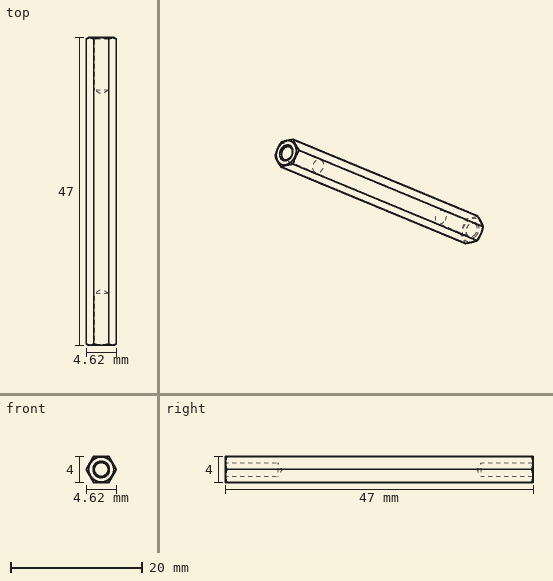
import cadquery as cq
import math

length = 47.0
across_flats = 4.0
across_corners = across_flats / math.cos(math.radians(30))

end_face_diameter = 3.8
corner_chamfer_angle = 30.0

hole_diameter = 2.1
hole_mouth_diameter = 2.5
hole_depth = 8.0
drill_point_angle = 118.0


def revolve_about_y(points):
    """Turn an outline of (radius, y) points around the Y axis."""
    return cq.Workplane("XY").polyline(points).close().revolve(360, (0, 0, 0), (0, 1, 0))


def hex_bar():
    return cq.Workplane("XZ").polygon(6, across_corners).extrude(length / 2, both=True)


def chamfer_envelope():
    """Cylinder through the hexagon corners, with both ends chamfered."""
    corner_radius = across_corners / 2
    face_radius = end_face_diameter / 2
    chamfer_length = (corner_radius - face_radius) * math.tan(math.radians(corner_chamfer_angle))
    end = length / 2
    shoulder = end - chamfer_length
    return revolve_about_y([
        (0, -end),
        (face_radius, -end),
        (corner_radius, -shoulder),
        (corner_radius, shoulder),
        (face_radius, end),
        (0, end),
    ])


def blind_hole():
    """Hole at the -Y end: 45 degree countersink, straight bore and drill point."""
    bore_radius = hole_diameter / 2
    mouth_radius = hole_mouth_diameter / 2
    countersink_depth = mouth_radius - bore_radius
    point_depth = bore_radius / math.tan(math.radians(drill_point_angle / 2))
    mouth = -length / 2
    return revolve_about_y([
        (0, mouth),
        (mouth_radius, mouth),
        (bore_radius, mouth + countersink_depth),
        (bore_radius, mouth + hole_depth),
        (0, mouth + hole_depth + point_depth),
    ])


front_hole = blind_hole()
back_hole = front_hole.mirror("XZ")
result = hex_bar().intersect(chamfer_envelope()).cut(front_hole).cut(back_hole)